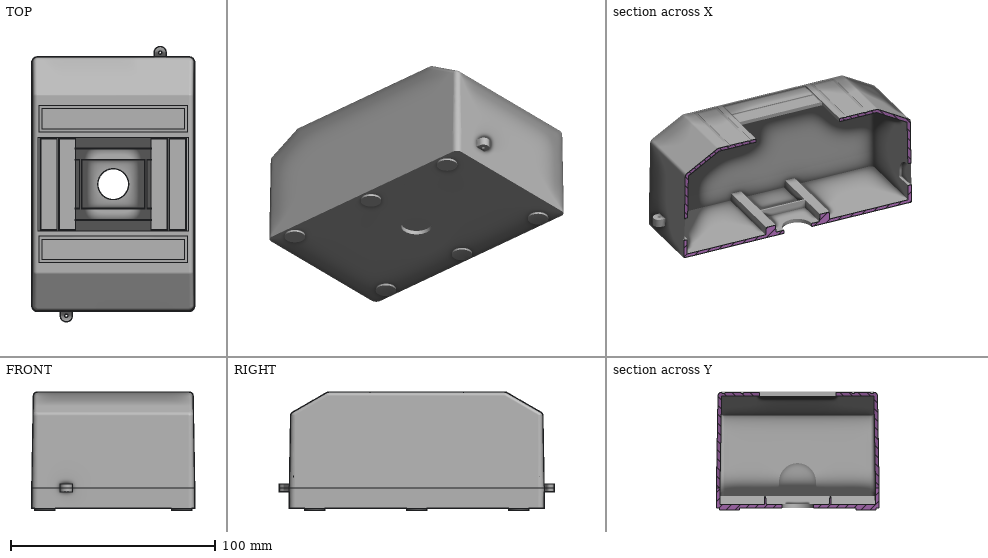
import cadquery as cq
import math

LENGTH = 125.0
WIDTH = 80.0
TOP_Z = 57.0
SEAM_Z = 10.0
WALL = 2.0
CORNER_RADIUS = 3.0
CAVITY_CORNER_RADIUS = 2.0
DRAFT_ANGLE = 1.0
SLOPE_ANGLE = 30.0
TOP_FLAT_HALF_LENGTH = 43.75
EDGE_FILLET = 2.0
UPPER_EDGES_Z = 40.0

TAB_WIDTH = 6.0
TAB_REACH = 5.0
TAB_THICKNESS = 2.0
TAB_OFFSET_X = 23.0
TAB_HOLE_DIAMETER = 1.5

FOOT_DIAMETER = 10.0
FOOT_HEIGHT = 1.0
FOOT_X = 33.5
FOOT_PITCH_Y = 50.0
CABLE_HOLE_DIAMETER = 15.0
RIB_HEIGHT = 4.0
RIB_DRAFT_ANGLE = 5.0
RAIL_INNER_Y = 11.8
RAIL_OUTER_Y = 17.7
CROSS_RIB_INNER_X = 15.3
CROSS_RIB_OUTER_X = 16.5

DECK_HALF_WIDTH = 36.9
DECK_HALF_LENGTH = 22.9
DECK_DEPTH = 0.6
WINDOW_HALF_WIDTH = 18.6
SLAT_HEIGHT = 0.4
SLAT_WIDTH = 8.2
SLAT_GAP = 0.8
SLAT_HALF_LENGTH = 22.5
SLAT_CHAMFER = 0.35
LABEL_Y = 32.0
LABEL_WIDTH = 70.0
LABEL_LENGTH = 10.0
LABEL_FRAME_MARGIN = 1.5
LABEL_FRAME_DEPTH = 0.2

KNOCKOUT_RADIUS = 9.0
KNOCKOUT_CENTER_Z = 13.0
KNOCKOUT_FOOT_HALF_WIDTH = 9.3
KNOCKOUT_SKIN = 0.5


def box_between(x_start, x_end, y_start, y_end, z_start, z_end):
    return (
        cq.Workplane("XY")
        .box(x_end - x_start, y_end - y_start, z_end - z_start, centered=False)
        .translate((x_start, y_start, z_start))
    )


def rounded_rectangle(inset, z, corner_radius=CORNER_RADIUS):
    """Plan outline at height z, moved inward by the inset."""
    return (
        cq.Workplane("XY", origin=(0, 0, z))
        .sketch()
        .rect(WIDTH - 2 * inset, LENGTH - 2 * inset)
        .vertices()
        .fillet(corner_radius)
        .finalize()
    )


def cover_form(inset, corner_radius=CORNER_RADIUS):
    """Drafted block above the seam with sloped ends, moved inward by the inset."""
    top_z = TOP_Z - inset
    slope = math.radians(SLOPE_ANGLE)
    flat_half = TOP_FLAT_HALF_LENGTH - inset * math.tan(slope / 2)
    half_length = LENGTH / 2
    slope_end_z = top_z - (half_length - flat_half) * math.tan(slope)
    block = rounded_rectangle(inset, SEAM_Z, corner_radius)
    block = block.extrude(top_z - SEAM_Z, taper=DRAFT_ANGLE)
    side_profile = (
        cq.Workplane("YZ")
        .polyline([
            (-half_length, SEAM_Z),
            (half_length, SEAM_Z),
            (half_length, slope_end_z),
            (flat_half, top_z),
            (-flat_half, top_z),
            (-half_length, slope_end_z),
        ])
        .close()
        .extrude(WIDTH / 2, both=True)
    )
    return block.intersect(side_profile)


def sealing_tabs(z):
    """Pierced ears on both end walls, diagonally opposite, with undersides at z."""
    eye_y = LENGTH / 2 + TAB_REACH - TAB_WIDTH / 2
    root_y = LENGTH / 2 - WALL / 2
    ear = box_between(-TAB_WIDTH / 2, TAB_WIDTH / 2, root_y, eye_y, z, z + TAB_THICKNESS)
    eye = cq.Workplane("XY", origin=(0, eye_y, z)).circle(TAB_WIDTH / 2).extrude(TAB_THICKNESS)
    hole = cq.Workplane("XY", origin=(0, eye_y, z)).circle(TAB_HOLE_DIAMETER / 2).extrude(TAB_THICKNESS)
    back_tab = ear.union(eye).cut(hole).translate((TAB_OFFSET_X, 0, 0))
    front_tab = back_tab.rotate((0, 0, 0), (0, 0, 1), 180)
    return back_tab, front_tab


def rail(side):
    """Floor rail along X with drafted flanks, at the given Y side."""
    rail_y = (RAIL_INNER_Y + RAIL_OUTER_Y) / 2
    return (
        cq.Workplane("XY", origin=(0, side * rail_y, WALL))
        .rect(WIDTH - 2 * WALL, RAIL_OUTER_Y - RAIL_INNER_Y)
        .extrude(RIB_HEIGHT, taper=RIB_DRAFT_ANGLE)
    )


def cross_rib():
    """Floor rib on the +X side joining the rails; only its inner flank is drafted."""
    rib_top = WALL + RIB_HEIGHT
    lean = RIB_HEIGHT * math.tan(math.radians(RIB_DRAFT_ANGLE))
    rail_y = (RAIL_INNER_Y + RAIL_OUTER_Y) / 2
    return (
        cq.Workplane("XZ")
        .polyline([
            (CROSS_RIB_INNER_X, WALL),
            (CROSS_RIB_OUTER_X, WALL),
            (CROSS_RIB_OUTER_X, rib_top),
            (CROSS_RIB_INNER_X + lean, rib_top),
        ])
        .close()
        .extrude(rail_y, both=True)
    )


def build_base():
    base = rounded_rectangle(0, 0).extrude(SEAM_Z)
    base = base.cut(rounded_rectangle(WALL, WALL, CAVITY_CORNER_RADIUS).extrude(SEAM_Z - WALL))
    base = base.union(cross_rib()).union(cross_rib().mirror("YZ"))
    for side in (-1, 1):
        base = base.union(rail(side))
    feet = (
        cq.Workplane("XY")
        .rarray(2 * FOOT_X, FOOT_PITCH_Y, 2, 3)
        .circle(FOOT_DIAMETER / 2)
        .extrude(-FOOT_HEIGHT)
    )
    base = base.union(feet)
    for tab in sealing_tabs(SEAM_Z - TAB_THICKNESS):
        base = base.union(tab)
    return base.cut(cq.Workplane("XY").circle(CABLE_HOLE_DIAMETER / 2).extrude(WALL))


def label_frame(y_center):
    """Shallow rectangular groove around a label field."""
    floor = cq.Workplane("XY", origin=(0, y_center, TOP_Z - LABEL_FRAME_DEPTH))
    frame_width = LABEL_WIDTH + 2 * LABEL_FRAME_MARGIN
    frame_length = LABEL_LENGTH + 2 * LABEL_FRAME_MARGIN
    return (
        floor.rect(frame_width, frame_length)
        .rect(LABEL_WIDTH, LABEL_LENGTH)
        .extrude(LABEL_FRAME_DEPTH)
    )


def slat(inner_x):
    """Raised slat on the +X part of the deck, with its outer side and both ends chamfered."""
    deck_z = TOP_Z - DECK_DEPTH
    plate = box_between(
        inner_x, inner_x + SLAT_WIDTH, -SLAT_HALF_LENGTH, SLAT_HALF_LENGTH, deck_z, deck_z + SLAT_HEIGHT
    )
    return plate.faces(">Z").edges(">X or |X").chamfer(SLAT_CHAMFER)


def knockout(side):
    """Arched recess in the inner face of an end wall, leaving only a thin outer skin."""
    foot = KNOCKOUT_FOOT_HALF_WIDTH
    arch = (
        cq.Workplane("XZ")
        .moveTo(-foot, SEAM_Z)
        .lineTo(-KNOCKOUT_RADIUS, KNOCKOUT_CENTER_Z)
        .threePointArc((0, KNOCKOUT_CENTER_Z + KNOCKOUT_RADIUS), (KNOCKOUT_RADIUS, KNOCKOUT_CENTER_Z))
        .lineTo(foot, SEAM_Z)
        .close()
        .extrude(-side * LENGTH)
    )
    return arch.intersect(cover_form(KNOCKOUT_SKIN))


def build_cover():
    cover = cover_form(0)
    upper_region = cq.selectors.BoxSelector((-WIDTH, -LENGTH, UPPER_EDGES_Z), (WIDTH, LENGTH, 2 * TOP_Z))
    cover = cover.edges(upper_region).fillet(EDGE_FILLET)
    cover = cover.cut(cover_form(WALL, CAVITY_CORNER_RADIUS))
    deck_z = TOP_Z - DECK_DEPTH
    cover = cover.cut(
        box_between(-DECK_HALF_WIDTH, DECK_HALF_WIDTH, -DECK_HALF_LENGTH, DECK_HALF_LENGTH, deck_z, TOP_Z)
    )
    cover = cover.cut(
        box_between(
            -WINDOW_HALF_WIDTH, WINDOW_HALF_WIDTH, -DECK_HALF_LENGTH, DECK_HALF_LENGTH, TOP_Z - WALL, TOP_Z
        )
    )
    for number in range(2):
        plate = slat(WINDOW_HALF_WIDTH + number * (SLAT_WIDTH + SLAT_GAP))
        cover = cover.union(plate).union(plate.mirror("YZ"))
    for side in (-1, 1):
        cover = cover.cut(label_frame(side * LABEL_Y))
        cover = cover.cut(knockout(side))
    for tab in sealing_tabs(SEAM_Z):
        cover = cover.union(tab)
    return cover


base = build_base()
cover = build_cover()

result = cq.Compound.makeCompound([base.val(), cover.val()])